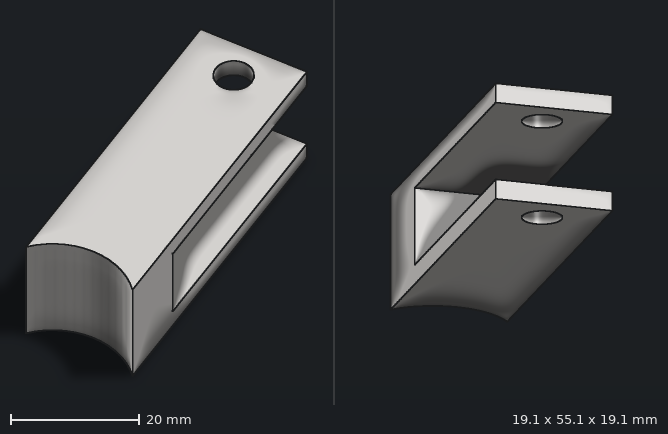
import cadquery as cq
import math

length = 55.1
width = 19.05
height = 19.05

arm_thickness = 3.2
slot_depth = 42.35
hole_diameter = 6.35
hole_to_tip = 6.35

saddle_radius = 12.75

slot_height = height - 2 * arm_thickness
tip_y = length / 2
base_y = -length / 2


def vertical_cylinder(radius, y):
    """Cylinder along Z, centred on the part's height."""
    return cq.Workplane("XY").center(0, y).circle(radius).extrude(height / 2, both=True)


saddle_axis_y = base_y - math.sqrt(saddle_radius**2 - (width / 2) ** 2)

block = cq.Workplane("XY").box(width, length, height)
slot = cq.Workplane("XY").box(width, slot_depth, slot_height).translate((0, tip_y - slot_depth / 2, 0))
saddle = vertical_cylinder(saddle_radius, saddle_axis_y)
cross_hole = vertical_cylinder(hole_diameter / 2, tip_y - hole_to_tip)

result = block.cut(slot).cut(saddle).cut(cross_hole)